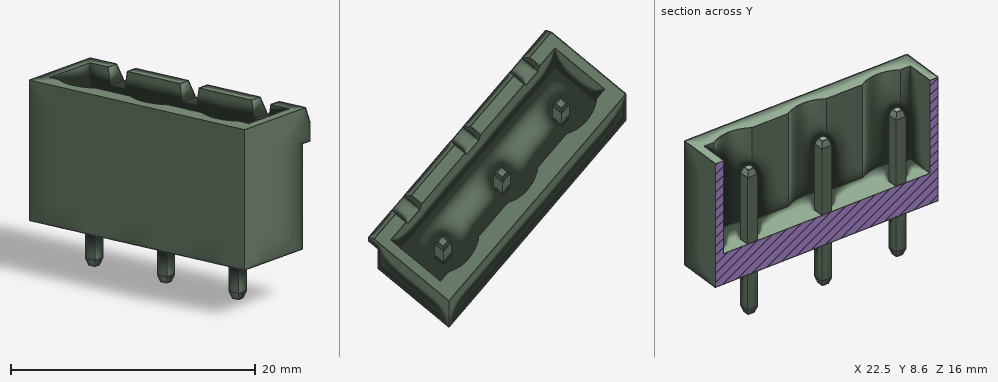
import cadquery as cq


housing_length = 22.5
housing_height = 12.0
overall_depth = 8.6
front_y = -3.8
back_y = front_y + overall_depth

lip_overhang = 1.0
lip_height = 3.0
lip_chamfer_depth = 0.6
lip_chamfer_height = 1.4

end_wall = 0.83
front_wall = 1.6
back_wall = 1.7
floor_thickness = 3.0
cavity_height = housing_height - floor_thickness
cavity_front_y = front_y + front_wall
cavity_back_y = back_y - back_wall

scallop_width = 3.85
scallop_depth = 0.56

notch_top_width = 2.0
notch_floor_width = 1.5
notch_depth = 1.5

pin_pitch = 7.5
pin_count = 3
pin_size = 1.0
pin_tip_size = 0.6
pin_tip_length = 0.6
pin_bottom_z = -4.0
pin_top_z = 10.0
pin_positions = [(i - (pin_count - 1) / 2) * pin_pitch for i in range(pin_count)]


def make_housing():
    """Side profile with the chamfered lip, extruded along the row of pins."""
    wall_back_y = back_y - lip_overhang
    lip_bottom_z = housing_height - lip_height
    profile = [
        (front_y, 0),
        (wall_back_y, 0),
        (wall_back_y, lip_bottom_z),
        (back_y, lip_bottom_z),
        (back_y, housing_height - lip_chamfer_height),
        (back_y - lip_chamfer_depth, housing_height),
        (front_y, housing_height),
    ]
    return cq.Workplane("YZ").polyline(profile).close().extrude(housing_length / 2, both=True)


def make_cavity():
    """Rectangular pocket volume whose front edge bulges outward at each pin."""
    half_length = housing_length / 2 - end_wall
    outline = cq.Workplane("XY", origin=(0, 0, floor_thickness)).moveTo(-half_length, cavity_front_y)
    for x in pin_positions:
        outline = outline.lineTo(x - scallop_width / 2, cavity_front_y).threePointArc(
            (x, cavity_front_y - scallop_depth),
            (x + scallop_width / 2, cavity_front_y),
        )
    outline = (
        outline.lineTo(half_length, cavity_front_y)
        .lineTo(half_length, cavity_back_y)
        .lineTo(-half_length, cavity_back_y)
        .close()
    )
    return outline.extrude(cavity_height)


def make_notch(x):
    """Trapezoidal notch volume reaching from the cavity through the back wall."""
    notch_floor_z = housing_height - notch_depth
    profile = [
        (x - notch_floor_width / 2, notch_floor_z),
        (x + notch_floor_width / 2, notch_floor_z),
        (x + notch_top_width / 2, housing_height),
        (x - notch_top_width / 2, housing_height),
    ]
    plane = cq.Workplane("XZ", origin=(0, cavity_back_y, 0))
    return plane.polyline(profile).close().extrude(-back_wall)


def make_pin_tip(x, base_z, direction):
    """Tapered pin end; direction is +1 for the upper end and -1 for the lower end."""
    return (
        cq.Workplane("XY", origin=(x, 0, base_z))
        .rect(pin_size, pin_size)
        .workplane(offset=direction * pin_tip_length)
        .rect(pin_tip_size, pin_tip_size)
        .loft(ruled=True)
    )


def make_pin(x):
    """Square pin tapered at both ends."""
    shank_bottom_z = pin_bottom_z + pin_tip_length
    shank_top_z = pin_top_z - pin_tip_length
    shank = (
        cq.Workplane("XY", origin=(x, 0, shank_bottom_z))
        .rect(pin_size, pin_size)
        .extrude(shank_top_z - shank_bottom_z)
    )
    upper_tip = make_pin_tip(x, shank_top_z, 1)
    lower_tip = make_pin_tip(x, shank_bottom_z, -1)
    return shank.union(upper_tip).union(lower_tip)


result = make_housing().cut(make_cavity())
for pin_x in pin_positions:
    result = result.cut(make_notch(pin_x)).union(make_pin(pin_x))